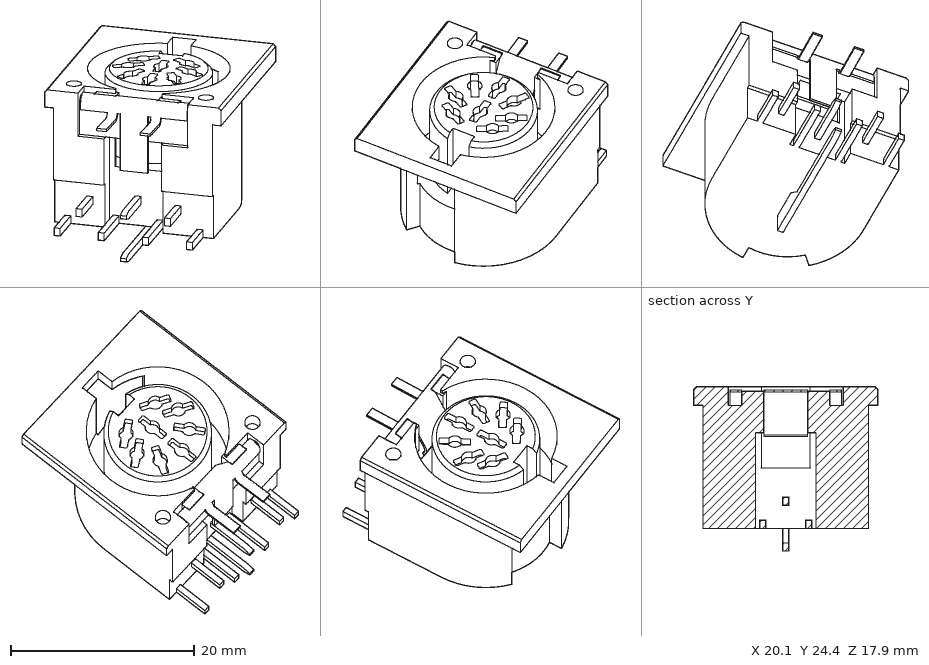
import cadquery as cq
import math


flange_width = 20.06
flange_back = 10.9
flange_front = -9.85
flange_thickness = 2.05
flange_edge_chamfer = 0.3
flange_hole_radius = 0.83
flange_hole_x = 7.5
flange_hole_y = -7.17

housing_radius = 9.05
housing_bottom = -15.45
lower_front_setback = 0.45
lower_front_top = -10.4
channel_width = 6.55
channel_back = -7.85

well_radius = 7.78
well_floor = -8.87
core_radius = 5.88
core_chamfer = 0.49
keyway_width = 2.65
keyway_back = 9.65
core_notch_floor = 4.45
wall_gap_radius = 7.5
wall_gap_start_angle = 51.0
cut_margin = 0.25

contact_circle_radius = 3.45
contact_bore_radius = 0.78
contact_slot_length = 3.44
contact_slot_width = 0.85
contact_slot_rounding = 0.15
contact_depth = 1.0
center_contact_y = 0.75

recess_width = 12.48
recess_back = -7.58
recess_bottom = -5.02
window_width = 5.31
seat_back = -7.12
seat_top = -0.49

sheet = 0.27
spring_width = 12.15
spring_front = -9.48
spring_top = -0.35
spring_bend_radius = 0.83
flange_leg_bottom = -2.05
tongue_width = 3.15
tongue_bottom = -8.63
clip_width = 4.78
end_tab_width = 1.27
clip_slope = 62.0
clip_straight_end = -6.31
clip_tip_radius = 1.46
clip_tip_turn = 40.0
spring_pin_x = 2.49
spring_pin_width = 1.12
spring_pin_bend = 0.5
spring_pin_rise = 0.12

pin_tip = -13.48
pin_pitch = 2.5
pin_width = 0.68
pin_height = 0.9
pin_root = channel_back + 0.25
upper_pin_top = -12.05
taper_length = 0.9
taper_drop = 0.27
blade_bottom = -17.92
blade_back = 2.0
blade_ramp_start = -1.65

housing_front = flange_front
spring_inner_front = spring_front + sheet
spring_inner_top = spring_top - sheet
bend_y = spring_front + spring_bend_radius
bend_z = spring_top - spring_bend_radius


def block(width, y_range, z_range, x=0.0):
    """Box centred on x, between the given Y and Z limits."""
    y0, y1 = y_range
    z0, z1 = z_range
    return cq.Workplane("XY").box(width, y1 - y0, z1 - z0).translate((x, (y0 + y1) / 2, (z0 + z1) / 2))


def cylinder(radius, z_range):
    """Upright cylinder on the socket axis, between the given Z limits."""
    z0, z1 = z_range
    return cq.Workplane("XY").workplane(offset=z0).circle(radius).extrude(z1 - z0)


def side_profile(width, x=0.0):
    """Workplane whose coordinates are Y and Z, placed at the low-X side of a strip."""
    return cq.Workplane("YZ").workplane(offset=x - width / 2)


def polar(center, radius, angle):
    """Point at the given distance and angle in degrees from a centre."""
    a = math.radians(angle)
    return center[0] + radius * math.cos(a), center[1] + radius * math.sin(a)


def make_housing():
    flange = block(flange_width, (flange_front, flange_back), (-flange_thickness, 0))
    flange = flange.edges("|Y and >Z").chamfer(flange_edge_chamfer)
    body = cylinder(housing_radius, (housing_bottom, -flange_thickness))
    body = body.union(block(2 * housing_radius, (housing_front, 0), (housing_bottom, -flange_thickness)))
    step = block(
        2 * housing_radius,
        (housing_front, housing_front + lower_front_setback),
        (housing_bottom, lower_front_top),
    )
    body = body.cut(step).union(flange)
    channel = block(channel_width, (housing_front, channel_back), (housing_bottom, recess_bottom))
    body = body.cut(channel)
    mount_holes = (
        cq.Workplane("XY")
        .pushPoints([(-flange_hole_x, flange_hole_y), (flange_hole_x, flange_hole_y)])
        .circle(flange_hole_radius)
        .extrude(-flange_thickness)
    )
    return body.cut(mount_holes)


def make_wall_gap():
    """Opening in the rear wall, from the keyway edge round to the start angle, below the flange."""
    keyway_edge = -keyway_width / 2
    outer = housing_radius + cut_margin
    mid_angle = (wall_gap_start_angle + 90) / 2
    start_inner = polar((0, 0), wall_gap_radius, wall_gap_start_angle)
    start_outer = polar((0, 0), outer, wall_gap_start_angle)
    edge_inner = (keyway_edge, math.sqrt(wall_gap_radius**2 - keyway_edge**2))
    edge_outer = (keyway_edge, math.sqrt(outer**2 - keyway_edge**2))
    return (
        cq.Workplane("XY")
        .workplane(offset=housing_bottom)
        .moveTo(*start_inner)
        .lineTo(*start_outer)
        .threePointArc(polar((0, 0), outer, mid_angle), edge_outer)
        .lineTo(*edge_inner)
        .threePointArc(polar((0, 0), wall_gap_radius, mid_angle), start_inner)
        .close()
        .extrude(-flange_thickness - housing_bottom)
    )


def contact_opening(x, y, slot_angle):
    """Blind round bore crossed by a slot, sunk from the core face."""
    slot = cq.Workplane("XY").rect(contact_slot_length, contact_slot_width).extrude(-contact_depth)
    slot = slot.edges("|Z").fillet(contact_slot_rounding).rotate((0, 0, 0), (0, 0, 1), slot_angle)
    bore = cylinder(contact_bore_radius, (-contact_depth, 0))
    return slot.union(bore).translate((x, y, 0))


def make_core():
    core = cylinder(core_radius, (well_floor, 0)).faces(">Z").chamfer(core_chamfer)
    core = core.cut(block(keyway_width, (core_notch_floor, core_radius), (well_floor, 0)))
    core = core.cut(contact_opening(0, center_contact_y, 90))
    core = core.cut(contact_opening(0, -contact_circle_radius, 90))
    for position_angle, slot_angle in ((45, -30), (0, -30), (-45, -60)):
        x, y = polar((0, 0), contact_circle_radius, position_angle)
        core = core.cut(contact_opening(x, y, slot_angle))
        core = core.cut(contact_opening(-x, y, -slot_angle))
    return core


def add_spring_seat(body):
    """Front recess, window into the well, and the block the spring is hooked over."""
    body = body.cut(block(recess_width, (flange_front, recess_back), (recess_bottom, 0)))
    body = body.cut(block(window_width, (channel_back, -core_radius), (well_floor, 0)))
    seat = block(recess_width, (spring_inner_front, seat_back), (recess_bottom, spring_inner_top))
    seat = seat.edges("|X and >Z and <Y").fillet(spring_bend_radius - sheet)
    seat = seat.union(block(recess_width, (bend_y, seat_back), (recess_bottom, seat_top)))
    seat = seat.cut(block(clip_width, (bend_y, seat_back), (recess_bottom, seat_top)))
    pocket_width = (recess_width - spring_width) / 2 + end_tab_width
    for side in (-1, 1):
        pocket_x = side * (recess_width - pocket_width) / 2
        seat = seat.cut(block(pocket_width, (bend_y, recess_back), (flange_leg_bottom, seat_top), pocket_x))
    return body.union(seat)


def quarter_hook(width, x, forward):
    """Upright sheet leg curving over to the crown, in front of it (1) or behind it (-1)."""
    inner_radius = spring_bend_radius - sheet
    center = (bend_y, bend_z)
    mid_angle = 90 + 45 * forward
    outer_y = bend_y - forward * spring_bend_radius
    inner_y = bend_y - forward * inner_radius
    return (
        side_profile(width, x)
        .moveTo(outer_y, flange_leg_bottom)
        .lineTo(outer_y, bend_z)
        .threePointArc(polar(center, spring_bend_radius, mid_angle), (bend_y, spring_top))
        .lineTo(bend_y, spring_inner_top)
        .threePointArc(polar(center, inner_radius, mid_angle), (inner_y, bend_z))
        .lineTo(inner_y, flange_leg_bottom)
        .close()
        .extrude(width)
    )


def spring_clip():
    """Centre clip: arches back from the crown, slopes down, and ends in a curled tip."""
    slope = math.radians(clip_slope)
    normal_angle = 90 - clip_slope
    inner_radius = spring_bend_radius - sheet
    center = (bend_y, bend_z)
    outer_start = polar(center, spring_bend_radius, normal_angle)
    run = clip_straight_end - outer_start[0]
    outer_end = (clip_straight_end, outer_start[1] - run * math.tan(slope))
    inner_end = polar(outer_end, -sheet, normal_angle)
    mid_angle = (90 + normal_angle) / 2
    tip_center = polar(outer_end, -clip_tip_radius, normal_angle)
    tip_inner = clip_tip_radius - sheet
    return (
        side_profile(clip_width)
        .moveTo(bend_y, spring_top)
        .threePointArc(polar(center, spring_bend_radius, mid_angle), outer_start)
        .lineTo(*outer_end)
        .threePointArc(
            polar(tip_center, clip_tip_radius, 0),
            polar(tip_center, clip_tip_radius, -clip_tip_turn),
        )
        .lineTo(*polar(tip_center, tip_inner, -clip_tip_turn))
        .threePointArc(polar(tip_center, tip_inner, 0), inner_end)
        .lineTo(*polar(center, inner_radius, normal_angle))
        .threePointArc(polar(center, inner_radius, mid_angle), (bend_y, spring_inner_top))
        .close()
        .extrude(clip_width)
    )


def spring_pin(x):
    """Narrow strip bent forward from the lower edge of the spring."""
    center = (spring_front - spring_pin_bend, flange_leg_bottom)
    outer_radius = spring_pin_bend + sheet
    strip_top = flange_leg_bottom - spring_pin_bend
    return (
        side_profile(spring_pin_width, x)
        .moveTo(spring_front, flange_leg_bottom)
        .threePointArc(polar(center, spring_pin_bend, -45), (center[0], strip_top))
        .lineTo(pin_tip, strip_top + spring_pin_rise)
        .lineTo(pin_tip, strip_top + spring_pin_rise - sheet)
        .lineTo(center[0], strip_top - sheet)
        .threePointArc(polar(center, outer_radius, -45), (spring_inner_front, flange_leg_bottom))
        .close()
        .extrude(spring_pin_width)
    )


def make_spring():
    spring = quarter_hook(spring_width, 0, 1)
    tongue = block(tongue_width, (spring_front, spring_inner_front), (tongue_bottom, flange_leg_bottom))
    spring = spring.union(tongue)
    spring = spring.union(spring_clip())
    for side in (-1, 1):
        tab_x = side * (spring_width - end_tab_width) / 2
        spring = spring.union(quarter_hook(end_tab_width, tab_x, -1))
        spring = spring.union(spring_pin(side * spring_pin_x))
    return spring


def taper_tip(pin, z_range):
    """Slope the top and bottom of the pin towards its tip."""
    z0, z1 = z_range
    for face_z, inward in ((z0, taper_drop), (z1, -taper_drop)):
        wedge = (
            side_profile(pin_width)
            .moveTo(pin_tip, face_z)
            .lineTo(pin_tip + taper_length, face_z)
            .lineTo(pin_tip, face_z + inward)
            .close()
            .extrude(pin_width)
        )
        pin = pin.cut(wedge)
    return pin


def make_pins():
    upper = (upper_pin_top - pin_height, upper_pin_top)
    lower = (housing_bottom, housing_bottom + pin_height)
    length = (pin_tip, pin_root)
    pins = [block(pin_width, length, upper, step * pin_pitch) for step in (-2, 2)]
    pins += [block(pin_width, length, lower, step * pin_pitch) for step in (-3, -1, 1, 3)]
    pins.append(taper_tip(block(pin_width, length, upper), upper))
    return pins


def make_blade():
    """Centre pin hanging below the housing."""
    shank_top = blade_bottom + pin_height
    ramp_end = blade_ramp_start - (housing_bottom - shank_top)
    blade = (
        side_profile(pin_width)
        .moveTo(blade_back, housing_bottom)
        .lineTo(blade_back, blade_bottom)
        .lineTo(pin_tip, blade_bottom)
        .lineTo(pin_tip, shank_top)
        .lineTo(ramp_end, shank_top)
        .lineTo(blade_ramp_start, housing_bottom)
        .close()
        .extrude(pin_width)
    )
    return taper_tip(blade, (blade_bottom, shank_top))


housing = make_housing().cut(cylinder(well_radius, (well_floor, 0)))
housing = housing.cut(block(keyway_width, (core_radius, keyway_back), (-flange_thickness, 0)))
housing = housing.cut(make_wall_gap()).union(make_core())
housing = add_spring_seat(housing)

result = housing.union(make_spring()).union(make_blade())
for pin in make_pins():
    result = result.union(pin)